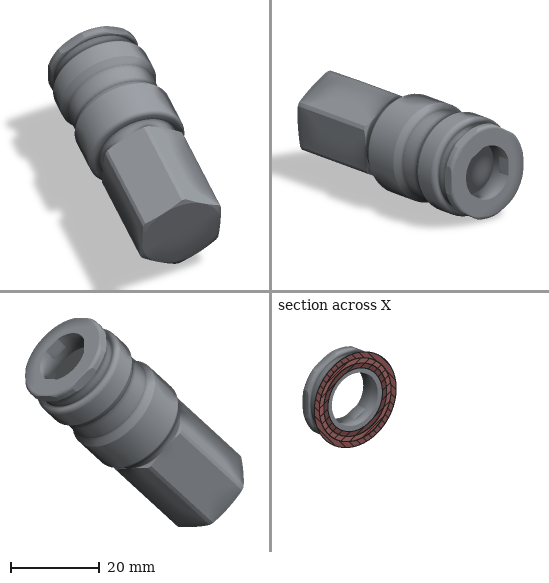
import cadquery as cq
import math


OVERALL_LENGTH = 55.5
NECK_DIAMETER = 20.05
BODY_DIAMETER = 18.9

FLANGE_DIAMETER = 22.0
FLANGE_ACROSS_FLATS = 21.0
FLANGE_LENGTH = 2.5
FLANGE_FILLET = 0.8
SHANK_END_X = 6.15
MOUTH_DIAMETER = 12.7
MOUTH_FLAT_DISTANCE = 6.05
MOUTH_FLAT_COUNT = 3
MOUTH_DEPTH = 3.3

SLEEVE_DIAMETER = 23.15
SLEEVE_START_X = 5.2
SLEEVE_END_X = 28.7
SLEEVE_FRONT_FILLET = 1.0
SLEEVE_REAR_FILLET = 0.9
WAIST_DIAMETER = 21.0
WAIST_START_X = 12.45
WAIST_END_X = 17.5
WAIST_TAPER_LENGTH = 1.85

SPIGOT_DIAMETER = 17.25
BORE_END_X = 5.6
RELIEF_DIAMETER = 15.0
HEX_START_X = 31.45
HEX_CORNER_DIAMETER = 21.3
HEX_TILT = 4.1
HEX_FRONT_FACE_DIAMETER = 20.0
HEX_FRONT_CHAMFER = 0.3
HEX_REAR_FACE_DIAMETER = BODY_DIAMETER
HEX_REAR_CHAMFER = 0.4

VALVE_FACE_X = SHANK_END_X
VALVE_DIAMETER = 12.55
VALVE_THICKNESS = 2.8

HEX_SIDES = 6


def cylinder(diameter, start_x, end_x):
    """Solid cylinder on the X axis between two stations."""
    return cq.Workplane("YZ", origin=(start_x, 0, 0)).circle(diameter / 2).extrude(end_x - start_x)


def hex_prism(across_flats, start_x, end_x):
    """Hexagonal prism on the X axis with two flats facing -Y and +Y."""
    across_corners = across_flats / math.cos(math.pi / HEX_SIDES)
    profile = cq.Workplane("YZ", origin=(start_x, 0, 0)).polygon(HEX_SIDES, across_corners)
    turn = 180 / HEX_SIDES
    return profile.extrude(end_x - start_x).rotate((0, 0, 0), (1, 0, 0), turn)


def mouth_cutter():
    """Round mouth with three flats, one of them on the -Y side."""
    cutter = cylinder(MOUTH_DIAMETER, 0, MOUTH_DEPTH)
    keeper = (
        cq.Workplane("YZ")
        .center(MOUTH_DIAMETER / 2 - MOUTH_FLAT_DISTANCE, 0)
        .rect(MOUTH_DIAMETER, 2 * MOUTH_DIAMETER)
        .extrude(MOUTH_DEPTH)
    )
    for index in range(MOUTH_FLAT_COUNT):
        turn = index * 360 / MOUTH_FLAT_COUNT
        cutter = cutter.intersect(keeper.rotate((0, 0, 0), (1, 0, 0), turn))
    return cutter


def make_collar():
    """Front collar: rounded flange with six wrench flats, shank and socket for the spigot."""
    flange = cylinder(FLANGE_DIAMETER, 0, FLANGE_LENGTH).edges().fillet(FLANGE_FILLET)
    flange = flange.intersect(hex_prism(FLANGE_ACROSS_FLATS, 0, FLANGE_LENGTH))
    shank = cylinder(NECK_DIAMETER, FLANGE_LENGTH, SHANK_END_X)
    socket = cylinder(SPIGOT_DIAMETER, MOUTH_DEPTH, SHANK_END_X)
    return flange.union(shank).cut(mouth_cutter()).cut(socket)


def make_sleeve():
    """Grip sleeve: waisted ring with rounded ends around the collar and hex body shanks."""
    outer = SLEEVE_DIAMETER / 2
    waist = WAIST_DIAMETER / 2
    outline = [
        (SLEEVE_START_X, 0),
        (SLEEVE_START_X, outer),
        (WAIST_START_X - WAIST_TAPER_LENGTH, outer),
        (WAIST_START_X, waist),
        (WAIST_END_X, waist),
        (WAIST_END_X + WAIST_TAPER_LENGTH, outer),
        (SLEEVE_END_X, outer),
        (SLEEVE_END_X, 0),
    ]
    sleeve = cq.Workplane("XY").polyline(outline).close().revolve(360, (0, 0, 0), (1, 0, 0))
    sleeve = sleeve.faces("<X").edges().fillet(SLEEVE_FRONT_FILLET)
    sleeve = sleeve.faces(">X").edges().fillet(SLEEVE_REAR_FILLET)
    sleeve = sleeve.cut(cylinder(NECK_DIAMETER, SLEEVE_START_X, SHANK_END_X))
    return sleeve.cut(cylinder(BODY_DIAMETER, SHANK_END_X, SLEEVE_END_X))


def hex_envelope():
    """Turned blank of the hexagon: corner diameter with a conical chamfer at each end."""
    corner = HEX_CORNER_DIAMETER / 2
    outline = [
        (HEX_START_X, 0),
        (HEX_START_X, HEX_FRONT_FACE_DIAMETER / 2),
        (HEX_START_X + HEX_FRONT_CHAMFER, corner),
        (OVERALL_LENGTH - HEX_REAR_CHAMFER, corner),
        (OVERALL_LENGTH, HEX_REAR_FACE_DIAMETER / 2),
        (OVERALL_LENGTH, 0),
    ]
    return cq.Workplane("XY").polyline(outline).close().revolve(360, (0, 0, 0), (1, 0, 0))


def make_hex_body():
    """Rear hex body: bored spigot in the collar, round shank in the sleeve, hexagon behind it."""
    hexagon = hex_prism(BODY_DIAMETER, HEX_START_X, OVERALL_LENGTH)
    hexagon = hexagon.rotate((0, 0, 0), (1, 0, 0), -HEX_TILT).intersect(hex_envelope())
    spigot = cylinder(SPIGOT_DIAMETER, MOUTH_DEPTH, SHANK_END_X)
    shank = cylinder(BODY_DIAMETER, SHANK_END_X, HEX_START_X)
    bore = cylinder(MOUTH_DIAMETER, MOUTH_DEPTH, BORE_END_X)
    relief = cylinder(RELIEF_DIAMETER, BORE_END_X, VALVE_FACE_X)
    return spigot.union(shank).union(hexagon).cut(bore).cut(relief).cut(valve_disc())


def valve_disc():
    """Valve disc, flush with the floor of the relief in the hex body."""
    return cylinder(VALVE_DIAMETER, VALVE_FACE_X, VALVE_FACE_X + VALVE_THICKNESS)


collar = make_collar()
sleeve = make_sleeve()
hex_body = make_hex_body()
valve = valve_disc()

bodies = [collar, sleeve, hex_body, valve]
result = cq.Compound.makeCompound([body.solids().val() for body in bodies])